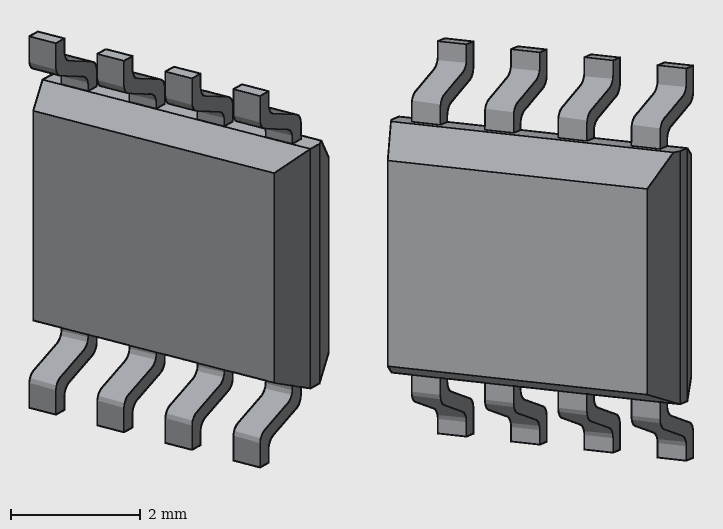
import cadquery as cq
import math

body_length = 5.0
body_height = 4.0
body_thickness = 1.5
rim_thickness = 0.25
taper_inset = 0.25
edge_chamfer = 0.5

lead_count = 4
lead_pitch = 1.27
lead_width = 0.5
lead_thickness = 0.24
lead_bend_radius = 0.2
lead_slope = math.radians(20)
lead_reach = 1.1
foot_length = 0.54
standoff = 0.25

front_foot_y = -(body_thickness + standoff) / 2
body_front_y = front_foot_y + standoff
body_rear_y = body_front_y + body_thickness
rim_front_y = body_front_y + (body_thickness - rim_thickness) / 2
rim_rear_y = rim_front_y + rim_thickness

half_length = body_length / 2
half_height = body_height / 2


def make_body():
    """Tapered block: a side outline trimmed by a plan outline."""
    face_half_height = half_height - taper_inset
    face_half_length = half_length - taper_inset
    side_prism = (
        cq.Workplane("YZ")
        .moveTo(body_front_y, -face_half_height)
        .lineTo(body_front_y, face_half_height)
        .lineTo(rim_front_y, half_height)
        .lineTo(body_rear_y - edge_chamfer, half_height)
        .lineTo(body_rear_y, half_height - edge_chamfer)
        .lineTo(body_rear_y, -face_half_height)
        .lineTo(rim_rear_y, -half_height)
        .lineTo(rim_front_y, -half_height)
        .close()
        .extrude(half_length, both=True)
    )
    plan_prism = (
        cq.Workplane("XY")
        .moveTo(-face_half_length, body_front_y)
        .lineTo(face_half_length, body_front_y)
        .lineTo(half_length, rim_front_y)
        .lineTo(half_length, rim_rear_y)
        .lineTo(face_half_length, body_rear_y)
        .lineTo(-face_half_length, body_rear_y)
        .lineTo(-half_length, rim_rear_y)
        .lineTo(-half_length, rim_front_y)
        .close()
        .extrude(half_height, both=True)
    )
    return side_prism.intersect(plan_prism)


def make_upper_lead(x_center):
    """S-bent strip standing on the upper face of the body."""
    root_front_y = rim_rear_y - lead_thickness
    foot_rear_y = front_foot_y + lead_thickness
    tip_z = half_height + lead_reach

    bend_angle = math.pi / 2 - lead_slope
    corner_shift = lead_thickness * math.tan(bend_angle / 2)
    foot_front_z = tip_z - foot_length
    root_front_z = foot_front_z - (root_front_y - front_foot_y) * math.tan(lead_slope)
    foot_rear_z = foot_front_z + corner_shift
    root_rear_z = root_front_z + corner_shift

    strip = (
        cq.Workplane("YZ", origin=(x_center, 0, 0))
        .moveTo(root_front_y, half_height)
        .lineTo(root_front_y, root_front_z)
        .lineTo(front_foot_y, foot_front_z)
        .lineTo(front_foot_y, tip_z)
        .lineTo(foot_rear_y, tip_z)
        .lineTo(foot_rear_y, foot_rear_z)
        .lineTo(rim_rear_y, root_rear_z)
        .lineTo(rim_rear_y, half_height)
        .close()
        .extrude(lead_width / 2, both=True)
    )
    bend_edges = strip.edges("|X").edges("(not >Z) and (not <Z)")
    return bend_edges.fillet(lead_bend_radius)


def make_leads():
    """Upper row of leads and its mirror image below the body."""
    leads = []
    for index in range(lead_count):
        x_center = (index - (lead_count - 1) / 2) * lead_pitch
        upper_lead = make_upper_lead(x_center)
        leads.append(upper_lead.val())
        leads.append(upper_lead.mirror("XY").val())
    return leads


body = make_body()
leads = make_leads()

result = cq.Compound.makeCompound([body.val(), *leads])